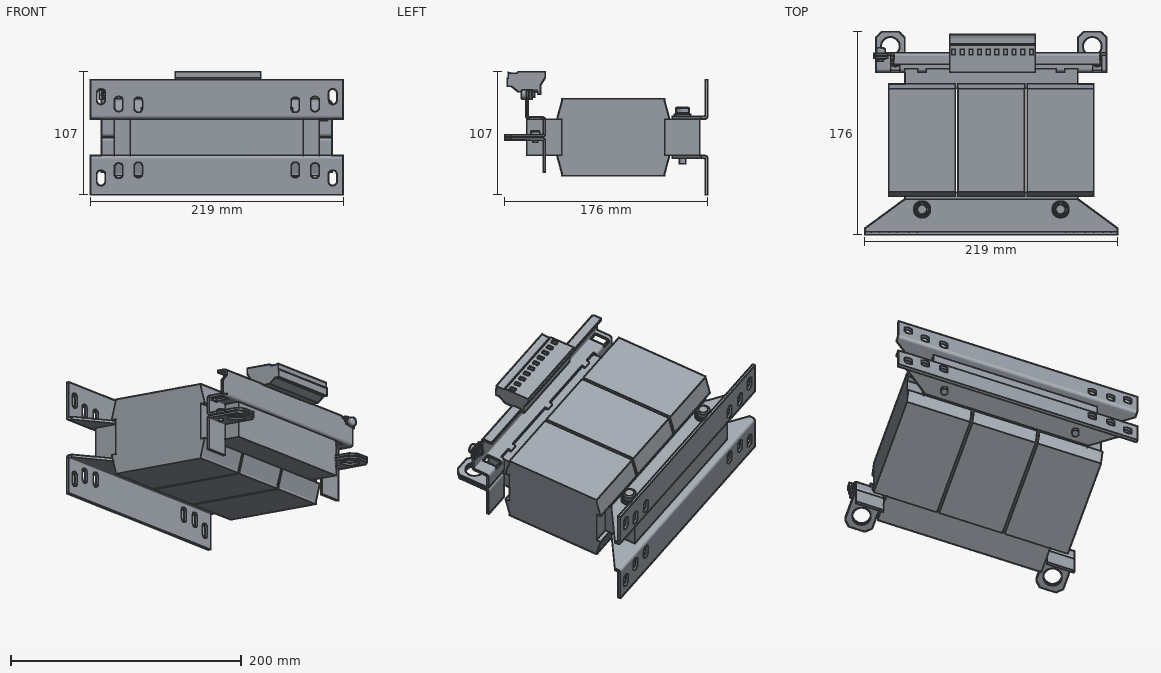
import cadquery as cq
import math


LIMB = 30.0
LIMB_PITCH = 2 * LIMB
CORE_LENGTH = 5 * LIMB
CORE_HALF_LENGTH = CORE_LENGTH / 2
CORE_HALF_HEIGHT = 15.75
CORE_FRONT = 7.0
CORE_REAR = CORE_FRONT + CORE_LENGTH
FRONT_YOKE_BACK = CORE_FRONT + LIMB
REAR_YOKE_FRONT = CORE_REAR - LIMB
COIL_GAP = 2.2
COIL_WIDTH = LIMB_PITCH - COIL_GAP
COIL_HALF_HEIGHT = 33.5
COIL_CLEARANCE = 0.4
COIL_RIM = 2.2
COIL_OVERHANG = 4.2

ANGLE_LENGTH = 219.0
ANGLE_HALF_HEIGHT = 50.0
ANGLE_SHEET = 2.5
ANGLE_BEND = 3.0
ANGLE_DEPTH = 31.0
ANGLE_STRAIGHT_END = 5.7
SLOT_WIDTH = 7.2
SLOT_LENGTH = 13.2
SLOT_PLACES = [(100.4, 35.2), (85.0, 28.8), (68.0, 28.2)]

BOLT_Y = CORE_FRONT + LIMB / 2
BOLT_DIAMETER = 6.0
BOLT_END_Z = -23.0
WASHER_DIAMETER = 14.5
WASHER_HEIGHT = 1.6
SPRING_WASHER_DIAMETER = 12.0
SPRING_WASHER_HEIGHT = 1.6
BOLT_HEAD_DIAMETER = 11.4
BOLT_HEAD_HEIGHT = 4.8
BOLT_HEAD_FLAT = 8.2
BOLT_HEAD_EDGE = 1.0

SHEET = 2.0
BEND = 3.0
EYE_WIDTH = 25.0
EYE_CENTER_X = CORE_HALF_LENGTH + EYE_WIDTH / 2
EYE_REAR = 176.0
EYE_CORNER = 5.0
EYE_HOLE_Y = 163.3
EYE_HOLE_DIAMETER = 16.0
EYE_GAP = 0.7
EYE_BOTTOM = EYE_GAP / 2
EYE_TOP = EYE_BOTTOM + SHEET
LEG_FRONT = 140.8
LOWER_LEG_END = -30.2
RAIL_LENGTH = 2 * (CORE_HALF_LENGTH + EYE_WIDTH)
RAIL_REAR = 157.8
RAIL_TOP = 40.9
RAIL_FLANGE_FRONT = 147.8
RAIL_FLANGE_LEFT = -84.5
RAIL_FLANGE_RIGHT = 94.2
RAIL_END_TOP = 34.0
RAIL_SLOPE_START = -90.0
RAIL_RIGHT_TOP = 35.5
SHELF_TOP = CORE_HALF_HEIGHT + SHEET
TAB_WIDTH = 7.4

EYE_SCREW_SHIFT = 4.2
EYE_SCREW_XS = [side * EYE_CENTER_X + EYE_SCREW_SHIFT for side in (-1, 1)]
EYE_SCREW_Y = 149.6
EYE_SCREW_DIAMETER = 4.0
EYE_SCREW_END = -4.5
EYE_SCREW_HEAD_DIAMETER = 7.6
EYE_SCREW_HEAD_HEIGHT = 3.4
EYE_SCREW_HEAD_EDGE = 0.8
WINDOW_WIDTH = 8.0
WINDOW_REAR = 155.0

EARTH_X = -96.0
EARTH_Z = 37.0
CLAMP_LENGTH = 12.2
CLAMP_HEIGHT = 8.3
CLAMP_THICKNESS = 1.7
FRONT_CLAMP_Y = 153.2
REAR_CLAMP_Y = RAIL_REAR - SHEET
EARTH_SHAFT_DIAMETER = 4.8
EARTH_SHAFT_FRONT = 150.2
EARTH_NUT_DIAMETER = 8.0
EARTH_NUT_FRONT = 152.2
EARTH_HEAD_DIAMETER = 8.2
EARTH_HEAD_REAR = 161.9
EARTH_HEAD_ROUNDING = 1.8

TERMINAL_CENTER_X = 1.0
TERMINAL_LENGTH = 74.4
TERMINAL_TOP = 57.0
TERMINAL_PROFILE = [
    (140.8, TERMINAL_TOP),
    (140.8, 51.8),
    (145.0, 45.2),
    (145.0, 37.2),
    (147.6, 37.2),
    (147.6, 39.4),
    (164.3, 39.4),
    (170.4, 44.2),
    (174.0, 44.2),
    (174.0, 51.2),
    (173.2, 51.2),
    (173.2, 56.2),
    (170.6, 55.6),
    (165.6, 55.6),
    (164.2, TERMINAL_TOP),
]
TERMINAL_COUNT = 10
TERMINAL_PITCH = 7.5
POCKET_LENGTH = 3.2
POCKET_FRONT = 156.0
POCKET_REAR = 161.0
POCKET_DEPTH = 1.0


def box(x0, x1, y0, y1, z0, z1):
    """Box between two opposite corners."""
    return cq.Workplane("XY").box(x1 - x0, y1 - y0, z1 - z0, centered=False).translate((x0, y0, z0))


def cylinder_z(x, y, diameter, z0, z1):
    return cq.Workplane("XY").center(x, y).circle(diameter / 2).extrude(z1 - z0).translate((0, 0, z0))


def earth_cylinder(diameter, y0, y1):
    """Cylinder along Y on the axis of the earth screw."""
    disc = cq.Workplane("XZ").center(EARTH_X, EARTH_Z).circle(diameter / 2)
    return disc.extrude(y0 - y1).translate((0, y0, 0))


def angle(corner, end, sheet, bend, x0, x1):
    """Bent sheet running along X: one leg along Y and one along Z.

    `corner` is the outer corner (Y, Z) and `end` holds the Y and the Z where the legs end.
    """
    inner = [c + math.copysign(sheet, e - c) for c, e in zip(corner, end)]

    def rounded_block(start, radius):
        y0, y1 = sorted((start[0], end[0]))
        z0, z1 = sorted((start[1], end[1]))
        edge = cq.selectors.NearestToPointSelector(((x0 + x1) / 2, start[0], start[1]))
        return box(x0, x1, y0, y1, z0, z1).edges("|X").edges(edge).fillet(radius)

    return rounded_block(corner, bend).cut(rounded_block(inner, bend - sheet))


def both_ends(shape):
    """The shape together with its mirror image across X = 0."""
    return shape.union(shape.mirror("YZ"))


def make_core():
    core = box(
        -CORE_HALF_LENGTH, CORE_HALF_LENGTH, CORE_FRONT, CORE_REAR, -CORE_HALF_HEIGHT, CORE_HALF_HEIGHT
    )
    for x in (-LIMB_PITCH / 2, LIMB_PITCH / 2):
        window = box(
            x - LIMB / 2, x + LIMB / 2, FRONT_YOKE_BACK, REAR_YOKE_FRONT, -CORE_HALF_HEIGHT, CORE_HALF_HEIGHT
        )
        core = core.cut(window)
    return core


def make_coil(x):
    """Coil around one limb, bulging over the yokes above and below the core."""
    front = FRONT_YOKE_BACK + COIL_CLEARANCE
    rear = REAR_YOKE_FRONT - COIL_CLEARANCE
    upper_half = [
        (front, 0),
        (front, CORE_HALF_HEIGHT),
        (front - COIL_OVERHANG, CORE_HALF_HEIGHT),
        (front, COIL_HALF_HEIGHT - COIL_RIM),
        (front, COIL_HALF_HEIGHT),
        (rear, COIL_HALF_HEIGHT),
        (rear, COIL_HALF_HEIGHT - COIL_RIM),
        (rear + COIL_OVERHANG, CORE_HALF_HEIGHT),
        (rear, CORE_HALF_HEIGHT),
        (rear, 0),
    ]
    half = cq.Workplane("YZ").polyline(upper_half).close().extrude(COIL_WIDTH)
    return half.union(half.mirror("XY")).translate((x - COIL_WIDTH / 2, 0, 0))


def make_mounting_angle():
    """Upper mounting angle: a slotted plate with a tapered flange lying on the core."""
    half_length = ANGLE_LENGTH / 2
    bent = angle(
        (0, CORE_HALF_HEIGHT),
        (ANGLE_DEPTH, ANGLE_HALF_HEIGHT),
        ANGLE_SHEET,
        ANGLE_BEND,
        -half_length,
        half_length,
    )
    plan = [
        (-half_length, 0),
        (half_length, 0),
        (half_length, ANGLE_STRAIGHT_END),
        (CORE_HALF_LENGTH, ANGLE_DEPTH),
        (-CORE_HALF_LENGTH, ANGLE_DEPTH),
        (-half_length, ANGLE_STRAIGHT_END),
    ]
    bent = bent.intersect(cq.Workplane("XY").polyline(plan).close().extrude(ANGLE_HALF_HEIGHT))
    slot_places = [(side * x, z) for x, z in SLOT_PLACES for side in (-1, 1)]
    slots = cq.Workplane("XZ").pushPoints(slot_places).slot2D(SLOT_LENGTH, SLOT_WIDTH, 90)
    return bent.cut(slots.extrude(-ANGLE_SHEET))


def make_core_bolt(x):
    seat = CORE_HALF_HEIGHT + ANGLE_SHEET
    spring_base = seat + WASHER_HEIGHT
    head_base = spring_base + SPRING_WASHER_HEIGHT
    head_top = head_base + BOLT_HEAD_HEIGHT
    taper = (BOLT_HEAD_DIAMETER - BOLT_HEAD_FLAT) / 2
    shank = cylinder_z(x, BOLT_Y, BOLT_DIAMETER, BOLT_END_Z, head_base)
    washer = cylinder_z(x, BOLT_Y, WASHER_DIAMETER, seat, spring_base)
    spring_washer = cylinder_z(x, BOLT_Y, SPRING_WASHER_DIAMETER, spring_base, head_base)
    head = cylinder_z(x, BOLT_Y, BOLT_HEAD_DIAMETER, head_base, head_top)
    head = head.faces(">Z").edges().chamfer(BOLT_HEAD_EDGE, taper)
    return shank.union(washer).union(spring_washer).union(head)


def make_eye(bottom, leg_end):
    """Lifting eye at +X: a flat tongue with a hole, bent into a leg beside the core."""
    x0 = EYE_CENTER_X - EYE_WIDTH / 2
    x1 = EYE_CENTER_X + EYE_WIDTH / 2
    outer_z = bottom if leg_end > bottom else bottom + SHEET
    eye = angle((LEG_FRONT, outer_z), (EYE_REAR, leg_end), SHEET, BEND, x0, x1)
    eye = eye.faces(">Y").edges("|Z").chamfer(EYE_CORNER)
    return eye.cut(cylinder_z(EYE_CENTER_X, EYE_HOLE_Y, EYE_HOLE_DIAMETER, bottom, bottom + SHEET))


def make_rail():
    """Terminal rail: shelf on the core, upright plate and top flange, legs down to the eyes."""
    half_length = RAIL_LENGTH / 2
    plate_front = RAIL_REAR - SHEET
    shelf_front = LEG_FRONT + BEND
    rail = angle(
        (RAIL_REAR, CORE_HALF_HEIGHT), (shelf_front, RAIL_TOP - BEND), SHEET, BEND, -half_length, half_length
    )
    rail = rail.union(
        angle(
            (RAIL_REAR, RAIL_TOP),
            (RAIL_FLANGE_FRONT, SHELF_TOP + BEND),
            SHEET,
            BEND,
            RAIL_FLANGE_LEFT,
            RAIL_FLANGE_RIGHT,
        )
    )
    rail = rail.union(box(RAIL_FLANGE_RIGHT, half_length, plate_front, RAIL_REAR, SHELF_TOP, RAIL_TOP))
    left_cut = [
        (-half_length, RAIL_END_TOP),
        (RAIL_SLOPE_START, RAIL_END_TOP),
        (RAIL_FLANGE_LEFT, RAIL_TOP),
        (-half_length, RAIL_TOP),
    ]
    right_overhang = half_length - RAIL_FLANGE_RIGHT
    right_cut = [
        (RAIL_FLANGE_RIGHT, RAIL_TOP),
        (RAIL_FLANGE_RIGHT, RAIL_RIGHT_TOP),
        (half_length, RAIL_RIGHT_TOP - right_overhang),
        (half_length, RAIL_TOP),
    ]
    for outline in (left_cut, right_cut):
        corner = cq.Workplane("XZ").polyline(outline).close().extrude(-SHEET)
        rail = rail.cut(corner.translate((0, plate_front, 0)))

    leg = angle(
        (LEG_FRONT, SHELF_TOP), (RAIL_REAR - BEND, EYE_TOP + BEND), SHEET, BEND, CORE_HALF_LENGTH, half_length
    )
    rail = rail.union(both_ends(leg))
    for x in (-LIMB_PITCH, 0, LIMB_PITCH):
        tab = angle(
            (LEG_FRONT, SHELF_TOP),
            (shelf_front + SHEET, CORE_HALF_HEIGHT - SHEET),
            SHEET,
            BEND,
            x - TAB_WIDTH / 2,
            x + TAB_WIDTH / 2,
        )
        rail = rail.union(tab)
    for x in EYE_SCREW_XS:
        window = box(
            x - WINDOW_WIDTH / 2, x + WINDOW_WIDTH / 2, LEG_FRONT, WINDOW_REAR, SHELF_TOP - BEND, SHELF_TOP
        )
        rail = rail.cut(window)
    return rail


def make_eye_screw(x):
    shank = cylinder_z(x, EYE_SCREW_Y, EYE_SCREW_DIAMETER, EYE_SCREW_END, EYE_TOP)
    head = cylinder_z(x, EYE_SCREW_Y, EYE_SCREW_HEAD_DIAMETER, EYE_TOP, EYE_TOP + EYE_SCREW_HEAD_HEIGHT)
    return shank.union(head.faces(">Z").edges().chamfer(EYE_SCREW_HEAD_EDGE))


def make_earth_screw():
    """Screw through the left end of the rail, with a clamp plate on either side."""
    screw = earth_cylinder(EARTH_SHAFT_DIAMETER, EARTH_SHAFT_FRONT, RAIL_REAR)
    screw = screw.union(earth_cylinder(EARTH_NUT_DIAMETER, EARTH_NUT_FRONT, FRONT_CLAMP_Y))
    head = earth_cylinder(EARTH_HEAD_DIAMETER, REAR_CLAMP_Y, EARTH_HEAD_REAR)
    screw = screw.union(head.faces(">Y").edges().fillet(EARTH_HEAD_ROUNDING))
    for y in (FRONT_CLAMP_Y, REAR_CLAMP_Y):
        clamp = box(
            EARTH_X - CLAMP_LENGTH / 2,
            EARTH_X + CLAMP_LENGTH / 2,
            y,
            y + CLAMP_THICKNESS,
            EARTH_Z - CLAMP_HEIGHT / 2,
            EARTH_Z + CLAMP_HEIGHT / 2,
        )
        screw = screw.union(clamp)
    return screw


def make_terminals():
    """Terminal block on the rail, with one marker pocket per terminal in its top face."""
    block = cq.Workplane("YZ").polyline(TERMINAL_PROFILE).close().extrude(TERMINAL_LENGTH)
    block = block.translate((TERMINAL_CENTER_X - TERMINAL_LENGTH / 2, 0, 0))
    for i in range(TERMINAL_COUNT):
        x = TERMINAL_CENTER_X + (i - (TERMINAL_COUNT - 1) / 2) * TERMINAL_PITCH
        pocket = box(
            x - POCKET_LENGTH / 2,
            x + POCKET_LENGTH / 2,
            POCKET_FRONT,
            POCKET_REAR,
            TERMINAL_TOP - POCKET_DEPTH,
            TERMINAL_TOP,
        )
        block = block.cut(pocket)
    return block


upper_angle = make_mounting_angle()
upper_eye = make_eye(EYE_BOTTOM, SHELF_TOP - BEND)
lower_eye = make_eye(-EYE_TOP, LOWER_LEG_END)

parts = [upper_angle, upper_angle.mirror("XY"), both_ends(upper_eye), both_ends(lower_eye)]
parts += [make_coil(x) for x in (-LIMB_PITCH, 0, LIMB_PITCH)]
parts += [make_core_bolt(x) for x in (-LIMB_PITCH, LIMB_PITCH)]
parts += [make_rail()]
parts += [make_eye_screw(x) for x in EYE_SCREW_XS]
parts += [make_earth_screw(), make_terminals()]

result = make_core()
for part in parts:
    result = result.union(part)